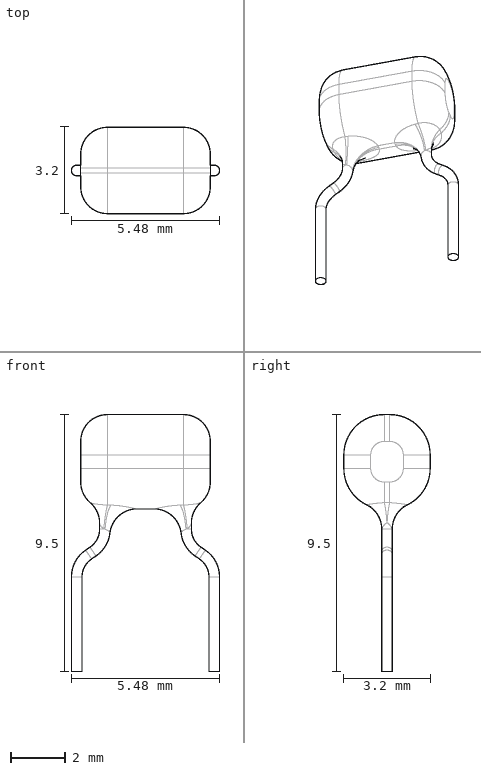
import cadquery as cq
import math

body_length = 4.8
body_width = 3.2
total_height = 9.5
body_bottom = 6.0
body_height = total_height - body_bottom
section_radius = 1.5
end_radius = 1.0

wire_diameter = 0.4
lead_span = 5.48
foot_x = (lead_span - wire_diameter) / 2
neck_x = 1.5
foot_length = 3.5
bend_radius = 1.0
bend_angle = math.radians(56)
root_depth = 0.95
blend_radius = 1.0
meeting_margin = 0.19


def make_body():
    block = (
        cq.Workplane("XY")
        .box(body_length, body_width, body_height, centered=(True, True, False))
        .translate((0, 0, body_bottom))
    )
    return block.edges("|X").fillet(section_radius).faces("<X or >X").edges().fillet(end_radius)


def make_lead():
    """Left lead: foot, outward bend, short slanted run, bend back to vertical, root."""
    bend_dx = bend_radius * (1 - math.cos(bend_angle))
    bend_dz = bend_radius * math.sin(bend_angle)
    half_dx = bend_radius * (1 - math.cos(bend_angle / 2))
    half_dz = bend_radius * math.sin(bend_angle / 2)
    slant_dx = foot_x - neck_x - 2 * bend_dx
    slant_dz = slant_dx / math.tan(bend_angle)

    slant_start = (-foot_x + bend_dx, foot_length + bend_dz)
    slant_end = (slant_start[0] + slant_dx, slant_start[1] + slant_dz)
    neck_start = (-neck_x, slant_end[1] + bend_dz)
    path = (
        cq.Workplane("XZ")
        .moveTo(-foot_x, 0)
        .lineTo(-foot_x, foot_length)
        .threePointArc((-foot_x + half_dx, foot_length + half_dz), slant_start)
        .lineTo(*slant_end)
        .threePointArc((-neck_x - half_dx, neck_start[1] - half_dz), neck_start)
        .lineTo(-neck_x, body_bottom + root_depth)
    )
    return cq.Workplane("XY").center(-foot_x, 0).circle(wire_diameter / 2).sweep(path)


left_lead = make_lead()
right_lead = left_lead.mirror("YZ")
part = make_body().union(left_lead).union(right_lead)

zone_x = neck_x + wire_diameter
zone_y = wire_diameter
meeting_zone = cq.selectors.BoxSelector(
    (-zone_x, -zone_y, body_bottom - meeting_margin),
    (zone_x, zone_y, body_bottom + meeting_margin),
    boundingbox=True,
)
result = part.edges(meeting_zone).fillet(blend_radius)